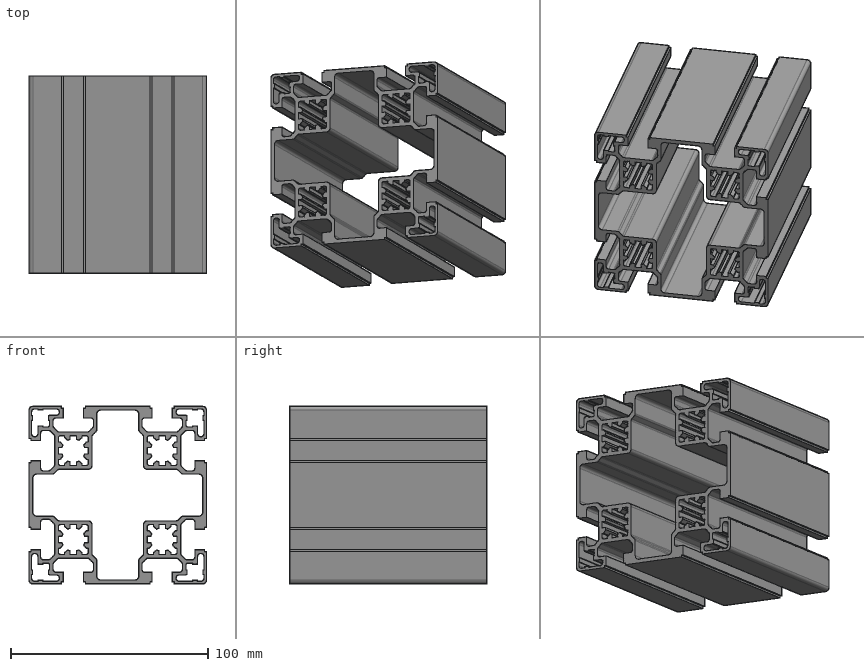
import cadquery as cq
import math

size = 90.0
length = 100.0
half = size / 2
outer_radius = 2.0

slot_pitch = 45.0
slot_opening = 10.2
slot_width = 20.4
lip_thickness = 6.0
slot_depth = 13.0
slot_chamfer = 2.5
slot_fillet = 1.3
step = 1.0

bore_width = 15.0
bore_fillet = 1.0
screw_radius = 5.9
tooth_inner = 1.6
tooth_tip = 2.8
tooth_outer = 4.5
tooth_shoulder = 6.7
tooth_overlap = 0.5

shell = 1.4
hollow_width = 9.0
hollow_outer_fillet = 1.5
hollow_inner_fillet = 0.7
branch_length = 14.0
branch_height = 3.1
branch_fillet = 1.5
land_width = 2.4
land_height = 0.5

cap_thickness = 2.0
arm_half = 10.6
core_half = 13.0
taper_start = 30.2
arm_fillet = 2.0
core_fillet = 2.0
taper_fillet = 1.2

slot_center = slot_pitch / 2


def prism(sketch):
    """Extrude an XZ outline over the full length, centred on Y = 0."""
    return sketch.extrude(length / 2, both=True)


def block(width, height, x, z):
    """Full-length bar with a rectangular section centred at (x, z)."""
    return prism(cq.Workplane("XZ").center(x, z).rect(width, height))


def turned(body, quarter):
    """Turn a body about the extrusion axis by a number of quarter turns."""
    return body.rotate((0, 0, 0), (0, 1, 0), 90 * quarter)


def slot():
    """One T-slot in the top face, centred on X = 0."""
    mouth = block(slot_opening, lip_thickness, 0, half - lip_thickness / 2)
    recess = block(slot_opening + 2 * step, step, 0, half - step / 2)
    height = slot_depth - lip_thickness
    undercut = block(slot_width, height, 0, half - lip_thickness - height / 2)
    undercut = undercut.faces("<Z").edges("|Y").chamfer(slot_chamfer)
    undercut = undercut.edges("|Y").fillet(slot_fillet)
    return undercut.union(mouth).union(recess)


def tooth():
    """One tooth on the upper wall of a bore centred on the Y axis."""
    root = bore_width / 2 + tooth_overlap
    mid = (tooth_inner + tooth_tip) / 2

    def on_circle(x):
        return math.sqrt(screw_radius**2 - x**2)

    return prism(
        cq.Workplane("XZ")
        .moveTo(tooth_inner, root)
        .lineTo(tooth_inner, on_circle(tooth_inner))
        .threePointArc((mid, on_circle(mid)), (tooth_tip, on_circle(tooth_tip)))
        .lineTo(tooth_outer, tooth_shoulder)
        .lineTo(tooth_outer, root)
        .close()
    )


def bore():
    """Void of one screw bore, centred on the Y axis."""
    void = block(bore_width, bore_width, 0, 0).edges("|Y").fillet(bore_fillet)
    one = tooth()
    pair = one.union(one.mirror("YZ"))
    for quarter in range(4):
        void = void.cut(turned(pair, quarter))
    return void


def corner_hollow():
    """Void in the -X, +Z corner with a branch along each outer face."""
    middle = half - shell - hollow_width / 2
    void = block(hollow_width, hollow_width, -middle, middle)
    branch_center = half - shell - branch_length / 2
    level = half - shell - branch_height / 2
    across = block(branch_length, branch_height, -branch_center, level)
    across = across.faces(">X").edges("|Y").fillet(branch_fillet)
    down = block(branch_height, branch_length, -level, branch_center)
    down = down.faces("<Z").edges("|Y").fillet(branch_fillet)
    void = void.union(across).union(down)
    outermost = cq.NearestToPointSelector((-half, 0, half))
    innermost = cq.NearestToPointSelector((hollow_width - half, 0, half - hollow_width))
    void = void.edges("|Y").edges(outermost).fillet(hollow_outer_fillet)
    void = void.edges("|Y").edges(innermost).fillet(hollow_inner_fillet)
    for side in (-1, 1):
        offset = side * (hollow_width - land_height) / 2
        void = void.cut(block(land_width, land_height, -middle, middle + offset))
        void = void.cut(block(land_height, land_width, -middle + offset, middle))
    return void


def central_cavity():
    """Cross-shaped void whose arms narrow toward the outer faces."""
    taper_end = taper_start + core_half - arm_half
    end = half - cap_thickness
    side = [(core_half, taper_start), (arm_half, taper_end), (arm_half, end)]
    right = [(x, -z) for x, z in reversed(side)] + side
    left = [(-x, -z) for x, z in right]
    arm = prism(cq.Workplane("XZ").polyline(right + left).close())
    arm = arm.faces("<Z or >Z").edges("|Y").fillet(arm_fillet)
    reach = taper_end + taper_fillet
    tapers = cq.selectors.BoxSelector((-half, -length, -reach), (half, length, reach))
    arm = arm.edges("|Y").edges(tapers).fillet(taper_fillet)
    cross = arm.union(turned(arm, 1))
    core = 2 * core_half + core_fillet
    inside = cq.selectors.BoxSelector((-core, -length, -core), (core, length, core))
    return cross.edges("|Y").edges(inside).fillet(core_fillet)


result = block(size, size, 0, 0).edges("|Y").fillet(outer_radius)
result = result.cut(central_cavity())
for quarter in range(4):
    for x in (-slot_center, slot_center):
        result = result.cut(turned(slot().translate((x, 0, 0)), quarter))
    result = result.cut(turned(bore().translate((-slot_center, 0, slot_center)), quarter))
    result = result.cut(turned(corner_hollow(), quarter))